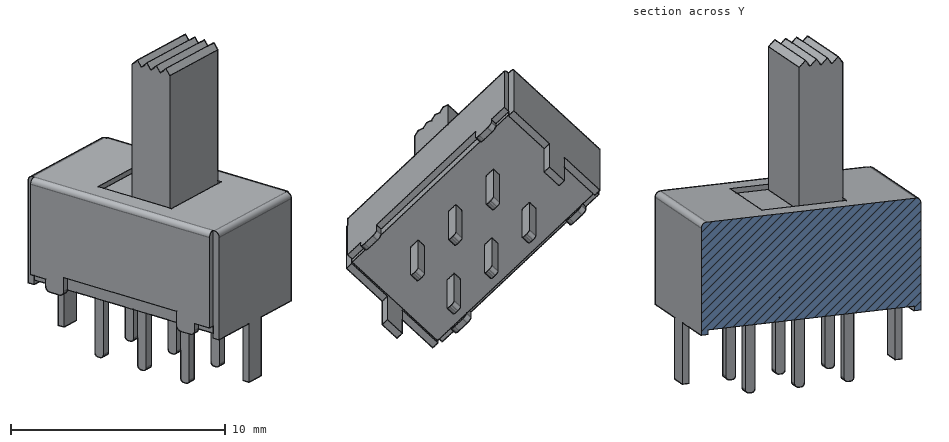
import cadquery as cq


total_length = 11.1
total_width = 6.2
total_height = 16.0

cover_top = 9.0
cover_bottom = 3.5
end_thickness = 0.35
side_thickness = 0.3
bend_radius = 0.27
end_plate_width = total_width - 2 * bend_radius
slot_top = 4.46
slot_half_length = 3.28
corner_notch_top = 4.11
tab_outer_x = 4.34
tab_radius = 0.25

lug_width = 0.98
lug_bottom = 0.51

body_length = total_length - 2 * end_thickness
body_width = total_width - 2 * side_thickness
body_bottom = 3.73

window_length = 4.27
window_depth = 0.25
lever_clearance = 0.06

lever_length = 2.2
lever_width = 3.76
lever_center_x = 0.88
ridge_count = 4
ridge_height = 0.3
ridge_peak_offset = 0.32

pin_length = 0.5
pin_width = 0.42
pin_tip_radius = 0.2
pin_pitch = 2.5
pin_row_spacing = 2.37
pins_per_row = 3


def block(length, width, bottom, top):
    """Box centred on the Z axis between two heights."""
    return cq.Workplane("XY").workplane(offset=bottom).rect(length, width).extrude(top - bottom)


def make_end_plate(side):
    """End wall of the cover (side = -1 or 1) with its mounting lug."""
    plate = block(end_thickness, end_plate_width, cover_bottom, cover_top)
    outer_edge = ">Z and >X" if side > 0 else ">Z and <X"
    plate = plate.edges(outer_edge).fillet(bend_radius)
    lug = block(end_thickness, lug_width, lug_bottom, body_bottom)
    return plate.union(lug).translate((side * (total_length - end_thickness) / 2, 0, 0))


def make_side_plate(side):
    """Long wall of the cover (side = -1 or 1) with two tabs on its lower edge."""
    half_length = body_length / 2
    plate = (
        cq.Workplane("XZ")
        .moveTo(-half_length, cover_top)
        .lineTo(-half_length, corner_notch_top)
        .lineTo(-tab_outer_x, corner_notch_top)
        .lineTo(-tab_outer_x, cover_bottom)
        .lineTo(-slot_half_length, cover_bottom)
        .lineTo(-slot_half_length, slot_top)
        .lineTo(0, slot_top)
        .lineTo(0, cover_top)
        .close()
        .extrude(side_thickness / 2, both=True)
    )
    plate = plate.faces("<Z").edges("|Y").fillet(tab_radius)
    plate = plate.union(plate.mirror("YZ"))
    outer_edge = ">Z and >Y" if side > 0 else ">Z and <Y"
    plate = plate.edges(outer_edge).fillet(bend_radius)
    return plate.translate((0, side * (total_width - side_thickness) / 2, 0))


def make_lever():
    """Lever standing on the window floor, with saw-tooth ridges on its tip."""
    left = lever_center_x - lever_length / 2
    valley_z = total_height - ridge_height
    floor_z = cover_top - window_depth
    pitch = lever_length / ridge_count
    outline = [(left + lever_length, floor_z), (left, floor_z), (left, valley_z)]
    for i in range(ridge_count):
        start = left + i * pitch
        outline.append((start + ridge_peak_offset, total_height))
        outline.append((start + pitch, valley_z))
    return cq.Workplane("XZ").polyline(outline).close().extrude(lever_width / 2, both=True)


def make_pin():
    """Pin with a rounded tip, reaching up into the underside of the body."""
    pin = block(pin_length, pin_width, 0, body_bottom)
    return pin.faces("<Z").edges("|Y").fillet(pin_tip_radius)


result = block(body_length, body_width, body_bottom, cover_top)
for side in (-1, 1):
    result = result.union(make_end_plate(side))
    result = result.union(make_side_plate(side))

window_width = lever_width + 2 * lever_clearance
result = result.cut(block(window_length, window_width, cover_top - window_depth, cover_top))
result = result.union(make_lever())

pin = make_pin()
for column in range(pins_per_row):
    x = (column - (pins_per_row - 1) / 2) * pin_pitch
    for side in (-1, 1):
        result = result.union(pin.translate((x, side * pin_row_spacing / 2, 0)))